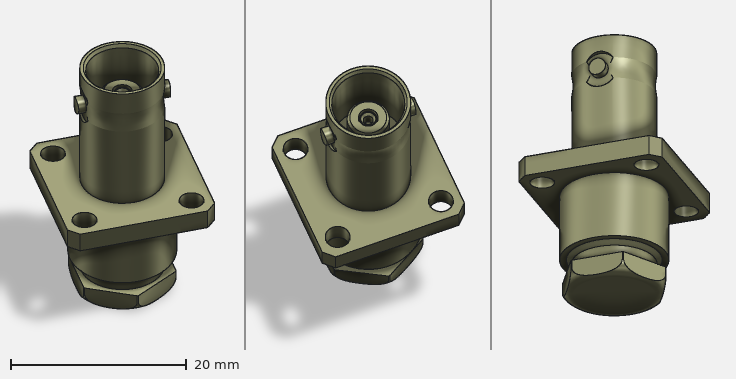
import cadquery as cq
import math

nut_top = 2.53
neck_top = 4.0
body_bottom = 4.57
flange_bottom = 12.6
flange_top = 15.0
barrel_top = 30.85
lug_height = 26.65

nut_across_flats = 10.98
nut_corner_radius = 6.3
nut_rounding = 1.55
neck_radius = 4.9

body_radius = 6.23
flange_width = 17.5
flange_corner_cut = 1.17
screw_spacing = 12.7
screw_hole_diameter = 2.8

barrel_radius = 4.85
groove_depth = 0.14
groove_half_width = 1.3

lug_radius = 1.02
lug_reach = 5.55
seat_radius = 2.07
seat_rim_radius = 2.22
seat_reach = 4.57

mouth_radius = 4.45
bore_top_radius = 4.15
bore_floor_radius = 4.07
mouth_depth = 0.4
bore_depth = 8.33

insulator_top = 27.52
insulator_radius = 2.4
insulator_chamfer = 0.3
contact_gap_radius = 1.1
contact_gap_depth = 1.55
contact_top = 27.2
contact_radius = 1.0
contact_mouth_radius = 0.85
contact_hole_radius = 0.55
contact_hole_depth = 1.55


def cylinder(radius, bottom, top):
    """Vertical cylinder on the Z axis."""
    return cq.Workplane("XY").workplane(offset=bottom).circle(radius).extrude(top - bottom)


def turned(points):
    """Solid of revolution about Z from (radius, height) points."""
    return cq.Workplane("XZ").polyline(points).close().revolve(360, (0, 0, 0), (0, 1, 0))


def make_nut():
    """Hexagon with corners on the X axis, its lower end rounded like a turned part."""
    across_corners = nut_across_flats / math.cos(math.pi / 6)
    hexagon = cq.Workplane("XY").polygon(6, across_corners).extrude(nut_top)
    envelope = cylinder(nut_corner_radius, 0, nut_top).faces("<Z").edges().fillet(nut_rounding)
    return hexagon.intersect(envelope)


def make_body():
    """Neck, 45 degree shoulder and the cylinder below the flange."""
    shoulder_radius = neck_radius + body_bottom - neck_top
    return turned([
        (0, nut_top),
        (neck_radius, nut_top),
        (neck_radius, neck_top),
        (shoulder_radius, body_bottom),
        (body_radius, body_bottom),
        (body_radius, flange_bottom),
        (0, flange_bottom),
    ])


def make_flange():
    """Square plate with cut corners and four screw holes."""
    return (
        cq.Workplane("XY")
        .workplane(offset=flange_bottom)
        .rect(flange_width, flange_width)
        .extrude(flange_top - flange_bottom)
        .edges("|Z")
        .chamfer(flange_corner_cut)
        .faces(">Z")
        .workplane()
        .rect(screw_spacing, screw_spacing, forConstruction=True)
        .vertices()
        .hole(screw_hole_diameter)
    )


def make_barrel():
    """Tube blank with a shallow arc-shaped groove at lug height."""
    return (
        cq.Workplane("XZ")
        .moveTo(0, flange_top)
        .lineTo(barrel_radius, flange_top)
        .lineTo(barrel_radius, lug_height - groove_half_width)
        .threePointArc(
            (barrel_radius - groove_depth, lug_height),
            (barrel_radius, lug_height + groove_half_width),
        )
        .lineTo(barrel_radius, barrel_top)
        .lineTo(0, barrel_top)
        .close()
        .revolve(360, (0, 0, 0), (0, 1, 0))
    )


def make_lug(side):
    """Bayonet pin on the +Y (side = 1) or -Y (side = -1) side, rooted in the tube wall."""
    root_reach = (bore_top_radius + seat_reach) / 2
    pin = (
        cq.Workplane("XZ", origin=(0, side * root_reach, lug_height))
        .circle(lug_radius)
        .extrude(-side * (lug_reach - root_reach))
    )
    return pin.intersect(cylinder(lug_reach, lug_height - lug_radius, lug_height + lug_radius))


def make_seat_cut(side):
    """Round flared cutter that leaves a flat seat around one lug."""
    depth = barrel_radius - seat_reach
    return (
        cq.Workplane("XZ", origin=(0, side * seat_reach, lug_height))
        .circle(seat_radius)
        .workplane(offset=-side * depth)
        .circle(seat_rim_radius)
        .loft()
    )


def make_socket():
    """Slightly tapered bore with a flared mouth."""
    floor = barrel_top - bore_depth
    return turned([
        (0, floor),
        (bore_floor_radius, floor),
        (bore_top_radius, barrel_top - mouth_depth),
        (mouth_radius, barrel_top),
        (0, barrel_top),
    ])


def make_insulator():
    """Chamfered insulator holding a hollow contact inside a ring-shaped gap."""
    base = barrel_top - bore_depth
    gap_floor = insulator_top - contact_gap_depth
    countersink = contact_mouth_radius - contact_hole_radius
    hole_floor = contact_top - contact_hole_depth
    return turned([
        (0, base),
        (insulator_radius, base),
        (insulator_radius, insulator_top - insulator_chamfer),
        (insulator_radius - insulator_chamfer, insulator_top),
        (contact_gap_radius, insulator_top),
        (contact_gap_radius, gap_floor),
        (contact_radius, gap_floor),
        (contact_radius, contact_top),
        (contact_mouth_radius, contact_top),
        (contact_hole_radius, contact_top - countersink),
        (contact_hole_radius, hole_floor),
        (0, hole_floor),
    ])


barrel = make_barrel()
for side in (1, -1):
    barrel = barrel.cut(make_seat_cut(side)).union(make_lug(side))
barrel = barrel.cut(make_socket()).union(make_insulator())

result = make_nut().union(make_body()).union(make_flange()).union(barrel)